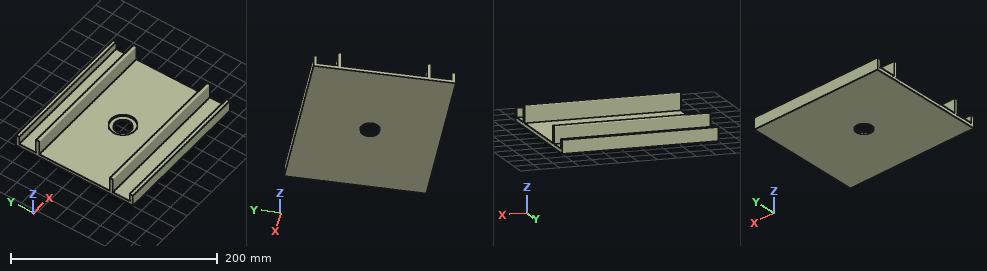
import cadquery as cq

length = 160
width = 140.0
base_thickness = 4.5

wall_thickness = 4.0
lip_top = 14.0
rib_top = 22.0
rib_inset = 24
rib_edge_radius = 0.83

hole_diameter = 18.5
counterbore_diameter = 28.0
counterbore_depth = 2.0


def wall(outer_y, top):
    """A full-length wall standing on Z = 0, running inward from |outer_y| on either side."""
    side = 1 if outer_y > 0 else -1
    center_y = outer_y - side * wall_thickness / 2
    return (
        cq.Workplane("XY")
        .center(0, center_y)
        .rect(length, wall_thickness)
        .extrude(top)
    )


def rib(outer_y):
    """A tall wall with both long top edges rounded."""
    return wall(outer_y, rib_top).faces(">Z").edges("|X").fillet(rib_edge_radius)


body = cq.Workplane("XY").rect(length, width).extrude(base_thickness)
for side in (-1, 1):
    body = body.union(wall(side * width / 2, lip_top))
    body = body.union(rib(side * (width / 2 - rib_inset)))

result = (
    body.copyWorkplane(cq.Workplane("XY", origin=(0, 0, base_thickness)))
    .cboreHole(hole_diameter, counterbore_diameter, counterbore_depth)
)